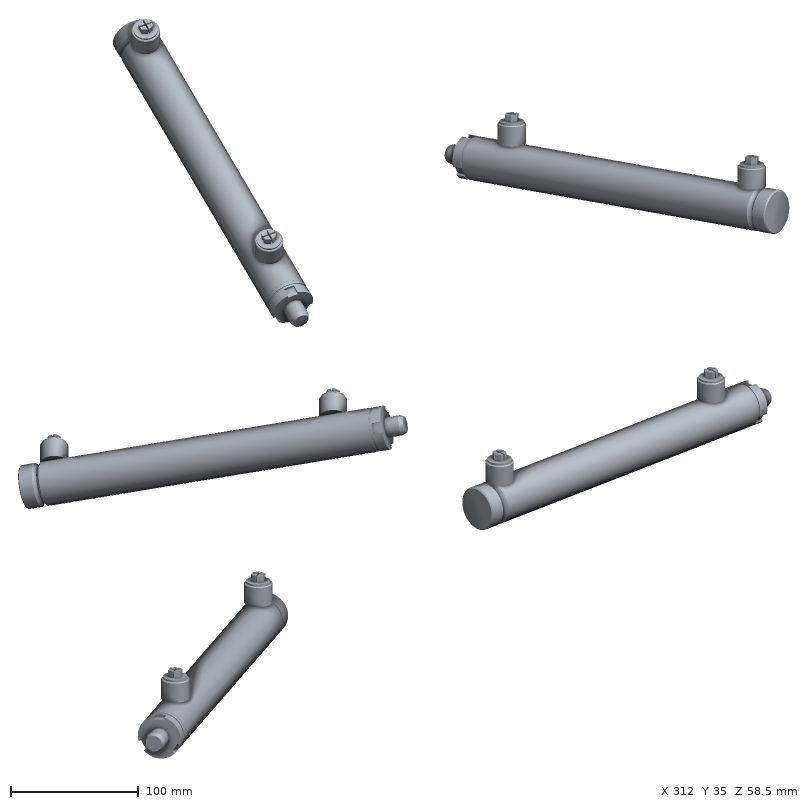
import cadquery as cq
import math

total_length = 312.0
total_height = 58.5
barrel_diameter = 35.0

cap_chamfer = 1.0
groove_root_diameter = 29.0
groove_start = 11.5
groove_width = 5.3

land_diameter = 34.5
land_start = 284.2
barrel_end = 287.5
gland_neck_diameter = 33.5
gland_shoulder = 289.2
gland_end = 297.0

notch_angles = (90, 210, 330)
notch_width = 8.5
notch_floor_radius = 14.7

rod_diameter = 16.0
rod_tip_diameter = 13.0
rod_taper_start = 308.5

port_positions = (24.3, 252.7)
bushing_diameter = 22.0
bushing_height = 16.5
bushing_chamfer = 0.5

ring_diameter = 19.5
flange_diameter = 17.5
head_across_flats = 10.0
head_height = 5.5
head_slot_width = 1.2

barrel_radius = barrel_diameter / 2
groove_root = groove_start + groove_width / 2
groove_root_radius = groove_root_diameter / 2
land_radius = land_diameter / 2
gland_neck_radius = gland_neck_diameter / 2
rod_radius = rod_diameter / 2
bushing_top = barrel_radius + bushing_height
flange_top = total_height - barrel_radius - head_height
flange_height = flange_top - bushing_top
head_across_corners = head_across_flats / math.cos(math.pi / 6)


def revolve_about_x(profile):
    """Turn a closed outline of (x, radius) points about the X axis."""
    return cq.Workplane("XY").polyline(profile).close().revolve(360, (0, 0, 0), (1, 0, 0))


def make_end_cap():
    """Solid disc with a chamfered outer face and one flank of the weld groove."""
    return revolve_about_x([
        (0, 0),
        (0, barrel_radius - cap_chamfer),
        (cap_chamfer, barrel_radius),
        (groove_start, barrel_radius),
        (groove_root, groove_root_radius),
        (groove_root, 0),
    ])


def make_barrel():
    """Long barrel with the other groove flank and a reduced land at the rod end."""
    return revolve_about_x([
        (groove_root, 0),
        (groove_root, groove_root_radius),
        (groove_start + groove_width, barrel_radius),
        (land_start, barrel_radius),
        (land_start, land_radius),
        (barrel_end, land_radius),
        (barrel_end, 0),
    ])


def make_gland():
    """Ring around the rod with a narrow neck and spanner notches in its rim."""
    gland = revolve_about_x([
        (barrel_end, rod_radius),
        (barrel_end, gland_neck_radius),
        (gland_shoulder, gland_neck_radius),
        (gland_shoulder, barrel_radius),
        (gland_end, barrel_radius),
        (gland_end, rod_radius),
    ])
    notch = (
        cq.Workplane("XY", origin=(gland_shoulder, notch_floor_radius, 0))
        .box(gland_end - gland_shoulder, barrel_radius, notch_width, centered=(False, False, True))
    )
    for angle in notch_angles:
        gland = gland.cut(notch.rotate((0, 0, 0), (1, 0, 0), angle))
    return gland


def make_rod():
    """Rod that passes through the gland and ends in a tapered tip."""
    return revolve_about_x([
        (barrel_end, 0),
        (barrel_end, rod_radius),
        (rod_taper_start, rod_radius),
        (total_length, rod_tip_diameter / 2),
        (total_length, 0),
    ])


def make_bushing(x):
    """Round port bushing that rests on the top line of the barrel."""
    return (
        cq.Workplane("XY", origin=(x, 0, barrel_radius))
        .circle(bushing_diameter / 2)
        .extrude(bushing_height)
        .faces(">Z")
        .chamfer(bushing_chamfer)
    )


def make_seal_ring(x):
    """Ring that lies on a bushing, around the plug flange and flush with its top."""
    return (
        cq.Workplane("XY", origin=(x, 0, bushing_top))
        .circle(ring_diameter / 2)
        .circle(flange_diameter / 2)
        .extrude(flange_height)
    )


def make_plug(x):
    """Screw plug that closes a bushing; the cross slot divides its hexagonal head."""
    flange = (
        cq.Workplane("XY", origin=(x, 0, bushing_top))
        .circle(flange_diameter / 2)
        .extrude(flange_height)
    )
    head_base = cq.Workplane("XY", origin=(x, 0, flange_top))
    head = head_base.polygon(6, head_across_corners).extrude(head_height)
    slot_along_x = head_base.rect(head_across_corners, head_slot_width).extrude(head_height)
    slot_along_y = head_base.rect(head_slot_width, head_across_corners).extrude(head_height)
    return flange.union(head.cut(slot_along_x).cut(slot_along_y))


end_cap = make_end_cap()
barrel = make_barrel()
gland = make_gland()
rod = make_rod()
bushings = [make_bushing(x) for x in port_positions]
seal_rings = [make_seal_ring(x) for x in port_positions]
plugs = [make_plug(x) for x in port_positions]

result = cq.Compound.makeCompound([
    end_cap.val(),
    barrel.val(),
    gland.val(),
    rod.val(),
    *[bushing.val() for bushing in bushings],
    *[ring.val() for ring in seal_rings],
    *[plug.val() for plug in plugs],
])